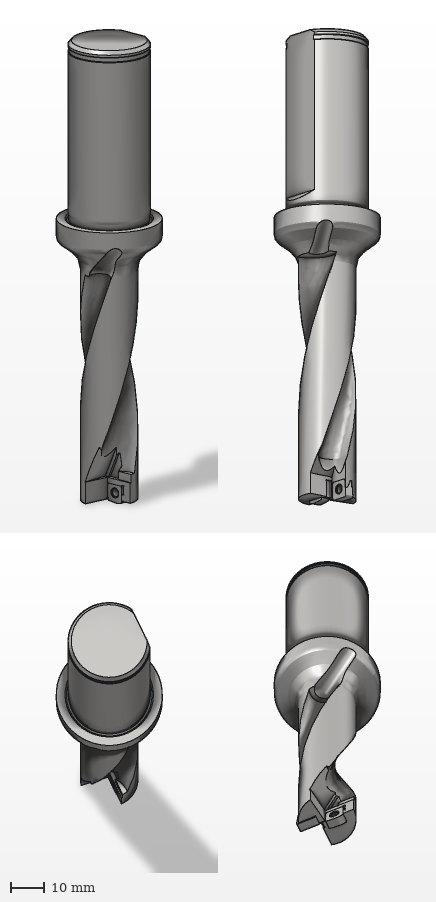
import cadquery as cq
import math

total_length = 145.0

shank_radius = 25.0 / 2
relief_radius = 24.5 / 2
top_face_radius = 11.5
top_chamfer_height = 1.2
top_groove_low = 141.7
top_groove_high = 143.1
base_groove_height = 2.2
base_groove_taper = 0.9
flat_offset = 10.5
flat_end_height = 92.7

flange_radius = 32.0 / 2
flange_top = 89.0
face_groove_radius = 13.3
face_groove_depth = 0.5
flange_edge_height = 82.5
flare_slope = 0.75
flange_round = 2.3
neck_round = 7.5
selector_margin = 0.1

shaft_radius = 8.7
body_bottom = 0.7
twist_rate = 2.206
narrow_flute_top = 72.5
wide_flute_top = 76.1
narrow_flute_end = 13.0
wide_flute_end = 10.2
flute_reference_height = 26.1
narrow_flute_angle = 184.0
narrow_flute_radius = 4.5
narrow_flute_tip_radius = 2.6
narrow_flute_offset = 6.7
wide_flute_angle = 2.0
wide_flute_radius = 7.4
wide_flute_offset = 9.5

runout_radius = 3.0
runout_length = 20.3
runout_direction = (5.8, -2.5, 4.5)

seat_height = 7.5
seat_wall_inner = -0.7
seat_wall_outer = -2.0
rear_wall = -2.3
front_chip_pocket_depth = 0.5
front_chip_pocket_peak = 19.3
front_chip_pocket_apex = 3.3
front_chip_pocket_corner = 17.8
front_chip_pocket_side = 5.2
gullet_depth = 1.3
gullet_top = 15.7
gullet_side = 3.3
gullet_bend_height = 9.9
rear_chip_pocket_top_wall = -6.7
rear_chip_pocket_peak = 18.4
wall_groove_depth = 0.6
wall_groove_start = 0.3
wall_groove_end = 2.2
wall_groove_top = 6.4
seat_relief_width = 0.7
seat_relief_depth = 1.2
seat_relief_bottom = 3.2
seat_relief_top = 6.1
central_seat_bottom = 1.2
clearance = 10.2

insert_thickness = 2.8
insert_corner = 0.6
insert_height = 5.8
central_width = 5.8
central_left = -0.65
central_right = central_left + central_width
central_point = 3.2
central_corner_height = 0.5
peripheral_outer = -9.0
peripheral_outer_top = -8.4
peripheral_inner = -2.6
peripheral_bottom = 0.1
screw_head_diameter = 3.0
screw_cone_diameter = 2.5
screw_hole_diameter = 2.2
screw_head_depth = 0.5
screw_cone_depth = 0.9
screw_height = 3.2


def edges_at_height(height):
    """Selector for the turned edges that lie at one height."""
    return cq.selectors.BoxSelector(
        (-flange_radius, -flange_radius, height - selector_margin),
        (flange_radius, flange_radius, height + selector_margin),
    )


def turned_blank():
    """Shank, grooves, flange, flared shoulder and plain shaft."""
    neck_height = flange_edge_height - flare_slope * (flange_radius - shaft_radius)
    flare = (
        cq.Workplane("XZ")
        .moveTo(0, body_bottom)
        .lineTo(shaft_radius, body_bottom)
        .lineTo(shaft_radius, neck_height)
        .lineTo(flange_radius, flange_edge_height)
        .lineTo(flange_radius, flange_top)
        .lineTo(face_groove_radius, flange_top)
        .lineTo(face_groove_radius - face_groove_depth, flange_top - face_groove_depth)
        .lineTo(0, flange_top - face_groove_depth)
        .close()
        .revolve(360, (0, 0, 0), (0, 1, 0))
    )
    flare = flare.edges(edges_at_height(neck_height)).fillet(neck_round)
    flare = flare.edges(edges_at_height(flange_edge_height)).fillet(flange_round)

    groove_step = shank_radius - relief_radius
    base_groove_top = flange_top + base_groove_height
    shank = (
        cq.Workplane("XZ")
        .moveTo(0, flange_top - face_groove_depth)
        .lineTo(relief_radius, flange_top - face_groove_depth)
        .lineTo(relief_radius, base_groove_top - base_groove_taper)
        .lineTo(shank_radius, base_groove_top)
        .lineTo(shank_radius, top_groove_low - groove_step)
        .lineTo(relief_radius, top_groove_low)
        .lineTo(relief_radius, top_groove_high - groove_step)
        .lineTo(shank_radius, top_groove_high)
        .lineTo(shank_radius, total_length - top_chamfer_height)
        .lineTo(top_face_radius, total_length)
        .lineTo(0, total_length)
        .close()
        .revolve(360, (0, 0, 0), (0, 1, 0))
    )
    return flare.union(shank)


def shank_flat():
    """Driving flat on the +Y side, ending in a 45 degree ramp above the flange."""
    ramp = shank_radius - flat_offset
    return (
        cq.Workplane("YZ")
        .moveTo(flat_offset, total_length)
        .lineTo(flat_offset, flat_end_height + ramp)
        .lineTo(shank_radius, flat_end_height)
        .lineTo(flange_radius, flat_end_height)
        .lineTo(flange_radius, total_length)
        .close()
        .extrude(shank_radius, both=True)
    )


def flute_center(angle, offset, height):
    """Centre of a flute's section at a height; angle is its direction at the reference height."""
    direction = math.radians(angle + twist_rate * (height - flute_reference_height))
    return offset * math.cos(direction), offset * math.sin(direction)


def flute(angle, radius, offset, end_height, top_height):
    """Helical channel of round section, from its lower end up to the shoulder."""
    length = top_height - end_height
    x, y = flute_center(angle, offset, end_height)
    return (
        cq.Workplane("XY", origin=(0, 0, end_height))
        .center(x, y)
        .circle(radius)
        .center(-x, -y)
        .twistExtrude(length, twist_rate * length)
    )


def narrow_flute_tip():
    """Conical lower end of the narrow flute, running down into the rear seat pocket."""
    center = flute_center(narrow_flute_angle, narrow_flute_offset, narrow_flute_end)
    return (
        cq.Workplane("XY", origin=(*center, seat_height))
        .circle(narrow_flute_tip_radius)
        .workplane(offset=narrow_flute_end - seat_height)
        .circle(narrow_flute_radius)
        .loft()
    )


def flute_runout():
    """Round straight channel that leads a flute out through the shoulder."""
    start = (*flute_center(narrow_flute_angle, narrow_flute_offset, narrow_flute_top), narrow_flute_top)
    plane = cq.Plane(origin=start, normal=runout_direction)
    channel = cq.Workplane(plane).circle(runout_radius).extrude(runout_length)
    return channel.union(cq.Workplane("XY").sphere(runout_radius).translate(start))


def front_seat_pocket():
    """Quarter cleared in front of the central insert, with a slanted side wall."""
    return (
        cq.Workplane("XY")
        .polyline([
            (seat_wall_inner, 0),
            (clearance, 0),
            (clearance, -clearance),
            (seat_wall_outer, -clearance),
        ])
        .close()
        .extrude(seat_height)
    )


def gullet():
    """Deeper step along the inner wall of the front chip pocket."""
    wall_slope = (front_chip_pocket_apex - seat_wall_outer) / (front_chip_pocket_peak - seat_height)
    return (
        cq.Workplane("XZ", origin=(0, gullet_depth, 0))
        .polyline([
            (seat_wall_inner, seat_height),
            (seat_wall_inner + wall_slope * (gullet_top - seat_height), gullet_top),
            (front_chip_pocket_side, gullet_top),
            (gullet_side, gullet_bend_height),
            (gullet_side, seat_height),
        ])
        .close()
        .extrude(clearance)
    )


def rear_seat_pocket():
    """Quarter cleared on the +Y side, in front of the peripheral insert."""
    return cq.Workplane("XY").box(
        clearance, clearance, seat_height, centered=False
    ).translate((rear_wall - clearance, 0, 0))


def rear_chip_pocket():
    """Pocket with a sloping wall that joins the rear seat pocket to its flute."""
    return (
        cq.Workplane("XZ")
        .polyline([
            (rear_wall, seat_height),
            (rear_chip_pocket_top_wall, rear_chip_pocket_peak),
            (-clearance, rear_chip_pocket_peak),
            (-clearance, seat_height),
        ])
        .close()
        .extrude(-clearance)
    )


def wall_groove():
    """Upright clearance groove in the rear pocket wall, beside the peripheral insert."""
    return cq.Workplane("XY").box(
        wall_groove_depth, wall_groove_end - wall_groove_start, wall_groove_top, centered=False
    ).translate((rear_wall, wall_groove_start, 0))


def seat_relief():
    """Relief in the central seat at the upper outer corner of the insert."""
    return cq.Workplane("XY").box(
        seat_relief_width, seat_relief_depth, seat_relief_top - seat_relief_bottom, centered=False
    ).translate((central_right, 0, seat_relief_bottom))


def seat_end_cut():
    """Shortens the half of the tip that carries the central insert."""
    return cq.Workplane("XY").box(
        2 * clearance, clearance, central_seat_bottom, centered=False
    ).translate((-clearance, 0, 0))


def front_chip_pocket():
    """Tapering pocket that joins the front seat pocket to its flute."""
    return (
        cq.Workplane("XZ", origin=(0, front_chip_pocket_depth, 0))
        .polyline([
            (seat_wall_outer, seat_height),
            (front_chip_pocket_apex, front_chip_pocket_peak),
            (front_chip_pocket_side, front_chip_pocket_corner),
            (front_chip_pocket_side, wide_flute_end),
            (clearance, wide_flute_end),
            (clearance, seat_height),
        ])
        .close()
        .extrude(clearance)
    )


def central_blank():
    """Central insert without its hole; its cutting face is at Y = 0, facing -Y."""
    return (
        cq.Workplane("XZ")
        .polyline([
            (central_left, central_corner_height),
            (central_point, 0),
            (central_right, central_corner_height),
            (central_right, insert_height),
            (central_left, insert_height),
        ])
        .close()
        .extrude(-insert_thickness)
        .edges("|Y").fillet(insert_corner)
    )


def peripheral_blank():
    """Peripheral insert without its hole; its cutting face is at Y = 0, facing +Y."""
    return (
        cq.Workplane("XZ")
        .polyline([
            (peripheral_outer, peripheral_bottom),
            (peripheral_inner, peripheral_bottom),
            (peripheral_inner, insert_height),
            (peripheral_outer_top, insert_height),
        ])
        .close()
        .extrude(insert_thickness)
        .edges("|Y").fillet(insert_corner)
    )


def screw_hole(center_x):
    """Stepped and countersunk hole entering an insert from Y = 0 toward +Y."""
    hole = (
        cq.Workplane("XY")
        .lineTo(screw_head_diameter / 2, 0)
        .lineTo(screw_head_diameter / 2, screw_head_depth)
        .lineTo(screw_cone_diameter / 2, screw_head_depth)
        .lineTo(screw_hole_diameter / 2, screw_cone_depth)
        .lineTo(screw_hole_diameter / 2, insert_thickness)
        .lineTo(0, insert_thickness)
        .close()
        .revolve(360, (0, 0, 0), (0, 1, 0))
    )
    return hole.translate((center_x, 0, screw_height))


def drill_body():
    runout = flute_runout()
    cuts = [
        shank_flat(),
        flute(
            narrow_flute_angle, narrow_flute_radius, narrow_flute_offset, narrow_flute_end, narrow_flute_top
        ),
        flute(wide_flute_angle, wide_flute_radius, wide_flute_offset, wide_flute_end, wide_flute_top),
        front_seat_pocket(),
        rear_seat_pocket(),
        front_chip_pocket(),
        gullet(),
        rear_chip_pocket(),
        narrow_flute_tip(),
        wall_groove(),
        seat_relief(),
        seat_end_cut(),
        central_blank(),
        peripheral_blank(),
    ]
    for turn in (0, 180):
        cuts.append(runout.rotate((0, 0, 0), (0, 0, 1), turn))
    body = turned_blank()
    for cut in cuts:
        body = body.cut(cut)
    return body


central_hole = screw_hole((central_left + central_right) / 2)
peripheral_hole = screw_hole(-(peripheral_outer_top + peripheral_inner) / 2)
peripheral_hole = peripheral_hole.rotate((0, 0, 0), (0, 0, 1), 180)

body = drill_body()
central_insert = central_blank().cut(central_hole)
peripheral_insert = peripheral_blank().cut(peripheral_hole)

result = cq.Compound.makeCompound([body.val(), central_insert.val(), peripheral_insert.val()])